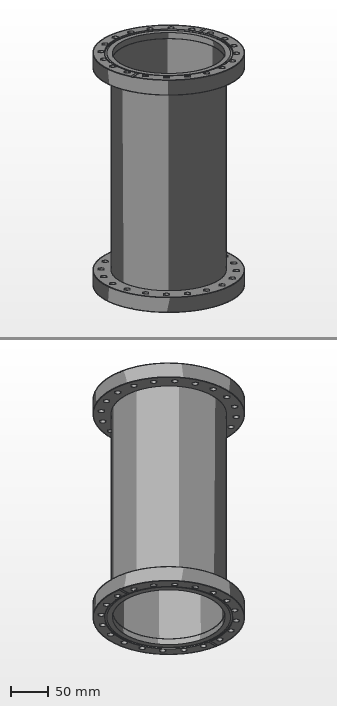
import cadquery as cq
import math

TOTAL_LENGTH = 334.0
FLANGE_DIAMETER = 203.0
FLANGE_THICKNESS = 22.0
RIM_CHAMFER = 0.5

TUBE_INNER_DIAMETER = 150.0
TUBE_OUTER_DIAMETER = 154.0
FIT_CLEARANCE = 0.5
FLANGE_BORE_DIAMETER = TUBE_INNER_DIAMETER + FIT_CLEARANCE
SOCKET_DIAMETER = TUBE_OUTER_DIAMETER + FIT_CLEARANCE
TUBE_END_DEPTH = 9.5

KNIFE_TIP_DIAMETER = 165.6
KNIFE_TIP_DEPTH = 0.8
KNIFE_SLOPE_DEGREES = 20.0
GASKET_RECESS_DIAMETER = 171.4
SEAL_RING_DIAMETER = 171.3
SEAL_RING_SEAT_DIAMETER = 172.1

BOLT_COUNT = 20
BOLT_HOLE_DIAMETER = 8.4
BOLT_CIRCLE_DIAMETER = 181.0

GROOVE_WIDTH = 3.6
GROOVE_DEPTH = 1.0

FACE_HEIGHT = TOTAL_LENGTH / 2
BACK_HEIGHT = FACE_HEIGHT - FLANGE_THICKNESS
SEAT_HEIGHT = FACE_HEIGHT - TUBE_END_DEPTH
TIP_HEIGHT = FACE_HEIGHT - KNIFE_TIP_DEPTH


def revolve_profile(points):
    """Revolve a closed (radius, height) outline around the Z axis."""
    return cq.Workplane("XZ").polyline(points).close().revolve(360, (0, 0, 0), (0, 1, 0))


def knife_foot_height(foot_diameter):
    """Height at which the sloping outer side of the knife edge ends."""
    slope_width = (foot_diameter - KNIFE_TIP_DIAMETER) / 2
    return TIP_HEIGHT - slope_width * math.tan(math.radians(KNIFE_SLOPE_DEGREES))


def cut_bolt_holes(flange):
    holes = (
        cq.Workplane("XY")
        .workplane(offset=FACE_HEIGHT)
        .polarArray(BOLT_CIRCLE_DIAMETER / 2, 180 / BOLT_COUNT, 360, BOLT_COUNT)
        .circle(BOLT_HOLE_DIAMETER / 2)
        .extrude(-FLANGE_THICKNESS)
    )
    return flange.cut(holes)


def cut_leak_grooves(flange, inner_diameter):
    """Cut a shallow groove on the +Y and -Y sides, from the seal to the rim."""
    groove_radius = (GROOVE_WIDTH**2 / 4 + GROOVE_DEPTH**2) / (2 * GROOVE_DEPTH)
    axis_height = FACE_HEIGHT - GROOVE_DEPTH + groove_radius
    cutter = (
        cq.Workplane("XZ")
        .center(0, axis_height)
        .circle(groove_radius)
        .extrude(FLANGE_DIAMETER / 2, both=True)
    )
    seal_zone = cq.Workplane("XY").circle(inner_diameter / 2).extrude(TOTAL_LENGTH)
    return flange.cut(cutter.cut(seal_zone))


def make_tube():
    return (
        cq.Workplane("XY")
        .workplane(offset=-SEAT_HEIGHT)
        .circle(TUBE_OUTER_DIAMETER / 2)
        .circle(TUBE_INNER_DIAMETER / 2)
        .extrude(2 * SEAT_HEIGHT)
    )


def make_flange_blank():
    """Plain disc with its face at the upper end of the part and both rim edges chamfered."""
    return (
        cq.Workplane("XY")
        .workplane(offset=BACK_HEIGHT)
        .circle(FLANGE_DIAMETER / 2)
        .extrude(FLANGE_THICKNESS)
        .faces("<Z or >Z")
        .edges()
        .chamfer(RIM_CHAMFER)
    )


def make_rotatable_ring():
    """Outer bolt ring with a stepped bore that holds the seal ring."""
    bore = revolve_profile([
        (0, BACK_HEIGHT),
        (SOCKET_DIAMETER / 2, BACK_HEIGHT),
        (SOCKET_DIAMETER / 2, SEAT_HEIGHT),
        (SEAL_RING_SEAT_DIAMETER / 2, SEAT_HEIGHT),
        (SEAL_RING_SEAT_DIAMETER / 2, FACE_HEIGHT),
        (0, FACE_HEIGHT),
    ])
    ring = make_flange_blank().cut(bore)
    return cut_leak_grooves(cut_bolt_holes(ring), SEAL_RING_SEAT_DIAMETER)


def make_seal_ring():
    """Knife-edge ring that rests on the tube end and inside the rotatable ring."""
    foot = knife_foot_height(SEAL_RING_DIAMETER)
    return revolve_profile([
        (FLANGE_BORE_DIAMETER / 2, SEAT_HEIGHT),
        (SEAL_RING_DIAMETER / 2, SEAT_HEIGHT),
        (SEAL_RING_DIAMETER / 2, foot),
        (KNIFE_TIP_DIAMETER / 2, TIP_HEIGHT),
        (FLANGE_BORE_DIAMETER / 2, TIP_HEIGHT),
    ])


def make_fixed_flange():
    """One-piece flange, shaped at the upper end and then turned over to the lower end."""
    foot = knife_foot_height(GASKET_RECESS_DIAMETER)
    opening = revolve_profile([
        (0, BACK_HEIGHT),
        (SOCKET_DIAMETER / 2, BACK_HEIGHT),
        (SOCKET_DIAMETER / 2, SEAT_HEIGHT),
        (FLANGE_BORE_DIAMETER / 2, SEAT_HEIGHT),
        (FLANGE_BORE_DIAMETER / 2, TIP_HEIGHT),
        (KNIFE_TIP_DIAMETER / 2, TIP_HEIGHT),
        (GASKET_RECESS_DIAMETER / 2, foot),
        (GASKET_RECESS_DIAMETER / 2, FACE_HEIGHT),
        (0, FACE_HEIGHT),
    ])
    flange = make_flange_blank().cut(opening)
    flange = cut_leak_grooves(cut_bolt_holes(flange), GASKET_RECESS_DIAMETER)
    return flange.rotate((0, 0, 0), (1, 0, 0), 180)


tube = make_tube()
rotatable_ring = make_rotatable_ring()
seal_ring = make_seal_ring()
fixed_flange = make_fixed_flange()

result = cq.Compound.makeCompound([
    tube.val(),
    rotatable_ring.val(),
    seal_ring.val(),
    fixed_flange.val(),
])